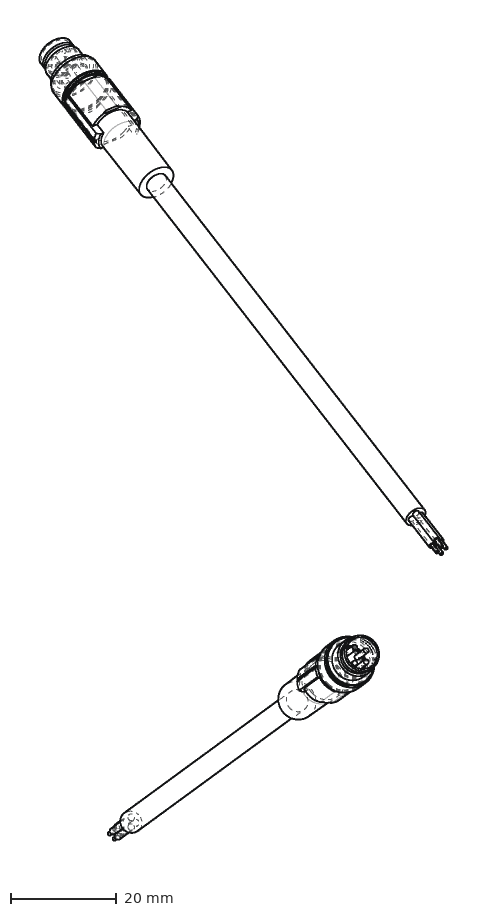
import cadquery as cq

LIP_BEVEL_START = 1.4
NOSE_GROOVE_START = 1.8
BODY_START = 2.9
RING_START = 6.4
RING_FRONT_STEP = 0.9
RING_END = 12.0
RING_REAR_STEP = 0.5
SLEEVE_START = 12.7
SLEEVE_END = 21.9
RIB_END = 24.4
GRIP_START = 25.3
GRIP_END = 38.9
CABLE_END = 138.7
WIRE_END = 146.7
TOTAL_LENGTH = 148.7

NOSE_RADIUS = 3.5
NOSE_GROOVE_RADIUS = 3.3
BODY_RADIUS = 3.8
RING_RADIUS = 5.0
RING_STEP_RADIUS = 4.65
NECK_RADIUS = 4.3
SLEEVE_RADIUS = 4.67
COLLAR_RADIUS = 3.85
GRIP_END_RADIUS = 3.75
CABLE_RADIUS = 2.15

MOUTH_RADIUS = 3.1
MOUTH_DEPTH = 7.0
FLOOR_RADIUS = 2.8
SOCKET_DEPTH = 7.5
PIN_RADIUS = 0.5
PIN_LENGTH = 5.5
PIN_PLACES = [(0.7, 1.55), (0.7, -1.55), (-1.55, 1.1), (-1.55, -1.1)]

FLAT_HEIGHT = 4.53
FLAT_END_BEVEL = 0.3
RIB_WIDTH = 4.0
RIB_GROOVE_WIDTH = 0.4
RIB_GROOVE_DEPTH = 0.3
RIB_END_BEVEL = 0.6

WIRE_RADIUS = 0.65
WIRE_OFFSET = 0.95
STRAND_RADIUS = 0.35
WIRE_PLACES = [(-WIRE_OFFSET, 0), (WIRE_OFFSET, 0), (0, -WIRE_OFFSET), (0, WIRE_OFFSET)]

EMBED = 1.0


def rod(start, end, radius, y=0.0, z=0.0):
    """Round bar parallel to X between two stations."""
    axis = cq.Vector(1, 0, 0)
    return cq.Workplane(cq.Solid.makeCylinder(radius, end - start, cq.Vector(start, y, z), axis))


def block(start, end, y_size, z_size, y=0.0):
    """Box between two stations, centred on the Z = 0 plane at the given y."""
    centre = ((start + end) / 2, y, 0)
    return cq.Workplane("XY").box(end - start, y_size, z_size).translate(centre)


def make_plug():
    """Nose, body, ring, neck, collar and tapered grip, turned about X.

    Each profile point is (station, radius).
    """
    crown_start = RING_START + RING_FRONT_STEP
    crown_end = RING_END - RING_REAR_STEP
    profile = [
        (0, 0),
        (0, NOSE_RADIUS),
        (LIP_BEVEL_START, NOSE_RADIUS),
        (NOSE_GROOVE_START, NOSE_GROOVE_RADIUS),
        (BODY_START, NOSE_GROOVE_RADIUS),
        (BODY_START, BODY_RADIUS),
        (RING_START, BODY_RADIUS),
        (RING_START, RING_STEP_RADIUS),
        (crown_start, RING_STEP_RADIUS),
        (crown_start, RING_RADIUS),
        (crown_end, RING_RADIUS),
        (crown_end, RING_STEP_RADIUS),
        (RING_END, RING_STEP_RADIUS),
        (RING_END, NECK_RADIUS),
        (SLEEVE_START, NECK_RADIUS),
        (SLEEVE_START, COLLAR_RADIUS),
        (GRIP_START, COLLAR_RADIUS),
        (GRIP_END, GRIP_END_RADIUS),
        (GRIP_END, 0),
    ]
    return cq.Workplane("XY").polyline(profile).close().revolve(360, (0, 0), (1, 0))


def make_sleeve():
    """Round sleeve flattened at +Z and -Z, with bevelled flat ends."""
    sleeve = rod(SLEEVE_START, SLEEVE_END, SLEEVE_RADIUS)
    sleeve = sleeve.intersect(block(SLEEVE_START, SLEEVE_END, 2 * RING_RADIUS, 2 * FLAT_HEIGHT))
    return sleeve.faces("<Z or >Z").edges("|Y").chamfer(FLAT_END_BEVEL)


def make_ribs():
    """Grip ribs on the +Y and -Y sides, each with a thin groove along its middle."""
    envelope = rod(SLEEVE_START, RIB_END, RING_RADIUS).faces(">X").chamfer(RIB_END_BEVEL)
    ribs = envelope.intersect(block(SLEEVE_START, RIB_END, 2 * RING_RADIUS, RIB_WIDTH))
    for side in (-1, 1):
        groove = block(
            SLEEVE_START, RIB_END, 2 * RIB_GROOVE_DEPTH, RIB_GROOVE_WIDTH, y=side * RING_RADIUS
        )
        ribs = ribs.cut(groove)
    return ribs


def make_socket():
    """Open bore of the plug, with a narrow ledge just before its floor."""
    return rod(0, MOUTH_DEPTH, MOUTH_RADIUS).union(rod(0, SOCKET_DEPTH, FLOOR_RADIUS))


def make_pins():
    """Contact pins standing on the socket floor."""
    pins = cq.Workplane()
    for y, z in PIN_PLACES:
        pins = pins.union(rod(SOCKET_DEPTH - PIN_LENGTH, SOCKET_DEPTH + EMBED, PIN_RADIUS, y, z))
    return pins


def make_cable():
    """Round cable with four wires, each ending in a bare strand."""
    cable = rod(GRIP_END - EMBED, CABLE_END, CABLE_RADIUS)
    for y, z in WIRE_PLACES:
        cable = cable.union(rod(CABLE_END - EMBED, WIRE_END, WIRE_RADIUS, y, z))
        cable = cable.union(rod(WIRE_END - EMBED, TOTAL_LENGTH, STRAND_RADIUS, y, z))
    return cable


housing = make_plug().union(make_sleeve()).union(make_ribs()).cut(make_socket())
result = housing.union(make_pins()).union(make_cable())